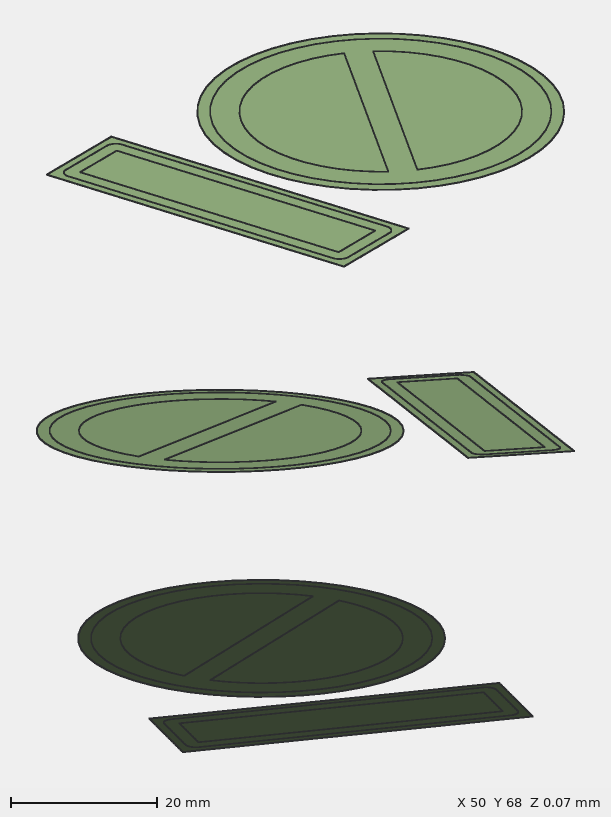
import cadquery as cq

total_thickness = 0.07
print_thickness = 0.02
sheet_thickness = total_thickness - print_thickness

sign_diameter = 50.0
ring_outer_diameter = 46.5
ring_width = 4.0
ring_inner_diameter = ring_outer_diameter - 2 * ring_width
bar_width = ring_width
bar_angle = -45.0

label_length = sign_diameter
label_width = 15.0
label_gap = 3.0
label_center_y = -(sign_diameter / 2 + label_gap + label_width / 2)
frame_margin = 1.25
frame_length = label_length - 2 * frame_margin
frame_width = label_width - 2 * frame_margin
frame_corner_radius = 1.5
frame_band = 2.0
window_length = frame_length - 2 * frame_band
window_width = frame_width - 2 * frame_band


def make_sign():
    """Round sheet carrying a raised ring crossed by a diagonal bar."""
    sheet = cq.Workplane("XY").circle(sign_diameter / 2).extrude(sheet_thickness)
    top = cq.Workplane("XY").workplane(offset=sheet_thickness)
    ring = (
        top.circle(ring_outer_diameter / 2)
        .circle(ring_inner_diameter / 2)
        .extrude(print_thickness)
    )
    bar_length = ring_inner_diameter + ring_width
    bar = (
        top.transformed(rotate=(0, 0, bar_angle))
        .rect(bar_length, bar_width)
        .extrude(print_thickness)
    )
    return sheet.union(ring.union(bar))


def make_label():
    """Rectangular sheet carrying a raised frame with rounded outer corners."""
    base = cq.Workplane("XY").center(0, label_center_y)
    sheet = base.rect(label_length, label_width).extrude(sheet_thickness)
    top = base.workplane(offset=sheet_thickness)
    frame = (
        top.rect(frame_length, frame_width)
        .extrude(print_thickness)
        .edges("|Z")
        .fillet(frame_corner_radius)
    )
    window = top.rect(window_length, window_width).extrude(print_thickness)
    return sheet.union(frame.cut(window))


sign = make_sign()
label = make_label()

result = cq.Compound.makeCompound([sign.val(), label.val()])